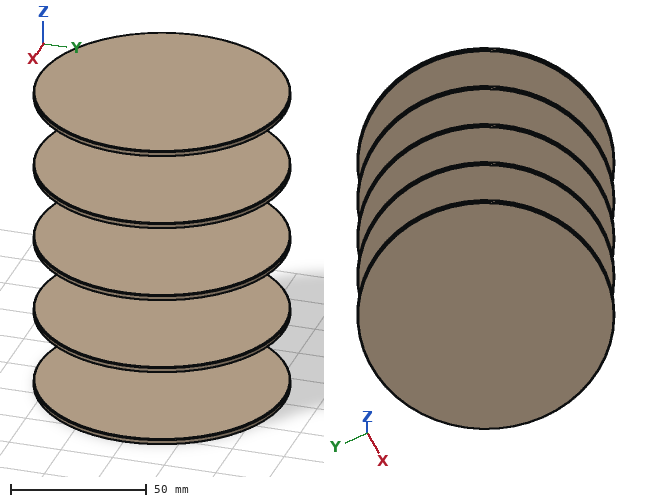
import cadquery as cq

stack_height = 122.2
disc_diameter = 95.0
disc_count = 5

disc_thickness = 2.3
rim_chamfer = 0.43
disc_pitch = (stack_height - disc_thickness) / (disc_count - 1)


def make_disc(bottom_z):
    """One round plate, centred on the Z axis, with both rims chamfered."""
    plate = (
        cq.Workplane("XY")
        .workplane(offset=bottom_z)
        .circle(disc_diameter / 2)
        .extrude(disc_thickness)
    )
    return plate.edges("%CIRCLE").chamfer(rim_chamfer)


discs = [make_disc(index * disc_pitch) for index in range(disc_count)]

result = cq.Compound.makeCompound([disc.solids().val() for disc in discs])